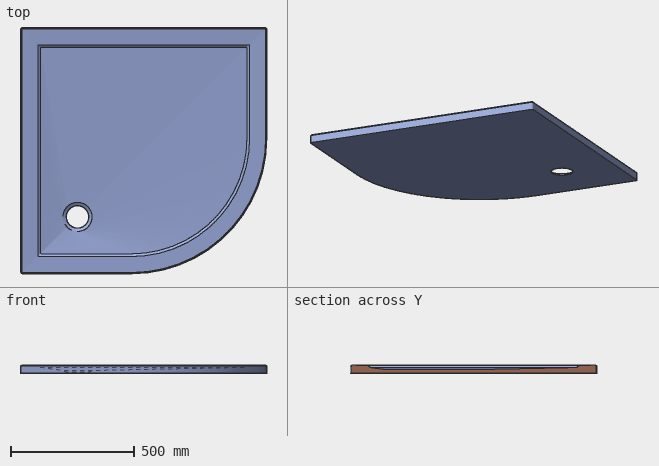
import cadquery as cq
import math

side = 999.0
height = 35.0
entry_radius = 550.0
corner_radius = 9.0
edge_chamfer = 5.0

rim_width = 70.0
step_width = 11.0
inner_corner_radius = 5.0
rim_inner_z = 33.0
floor_edge_z = 25.0

drain_x = 231.0
drain_y = 231.0
drain_seat_radius = 59.0
drain_hole_radius = 45.0
drain_seat_z = 12.0
drain_hole_z = 5.0
drain_corner_angle = 0.5


def arc_edge(center_x, center_y, radius, z, start, end):
    """Arc on a horizontal plane, with start < end in degrees."""
    def at(angle):
        turn = math.radians(angle)
        return cq.Vector(center_x + radius * math.cos(turn), center_y + radius * math.sin(turn), z)

    return cq.Edge.makeThreePointArc(at(start), at((start + end) / 2), at(end))


def tray_outline(inset, small_radius, z):
    """Eight-edge tray outline, moved inward by inset; starts with the large corner."""
    low = inset
    high = side - inset
    corners = [
        (side - entry_radius, entry_radius, entry_radius - inset, 270),
        (high - small_radius, high - small_radius, small_radius, 0),
        (low + small_radius, high - small_radius, small_radius, 90),
        (low + small_radius, low + small_radius, small_radius, 180),
    ]
    arcs = [arc_edge(x, y, radius, z, start, start + 90) for x, y, radius, start in corners]
    edges = []
    for arc, next_arc in zip(arcs, arcs[1:] + arcs[:1]):
        edges.append(arc)
        edges.append(cq.Edge.makeLine(arc.endPoint(), next_arc.startPoint()))
    return cq.Wire.assembleEdges(edges)


def drain_outline():
    """Drain circle split into eight arcs that pair with the edges of the tray outline."""
    angles = [-90, 0]
    for corner_angle in (45, 135, 225):
        angles += [corner_angle - drain_corner_angle, corner_angle + drain_corner_angle]
    angles.append(270)
    arcs = [
        arc_edge(drain_x, drain_y, drain_seat_radius, drain_seat_z, start, end)
        for start, end in zip(angles, angles[1:])
    ]
    return cq.Wire.assembleEdges(arcs)


def ruled_solid(lower, upper):
    return cq.Workplane(obj=cq.Solid.makeLoft([lower, upper], True))


base = tray_outline(0, corner_radius, 0)
body = cq.Workplane(obj=cq.Solid.extrudeLinear(base, [], cq.Vector(0, 0, height)))
body = body.faces(">Z").edges().chamfer(edge_chamfer)

rim_edge = tray_outline(edge_chamfer, corner_radius - edge_chamfer, height)
basin_edge = tray_outline(rim_width, inner_corner_radius, rim_inner_z)
floor_edge = tray_outline(rim_width + step_width, inner_corner_radius, floor_edge_z)
for lower, upper in ((basin_edge, rim_edge), (floor_edge, basin_edge), (drain_outline(), floor_edge)):
    body = body.cut(ruled_solid(lower, upper))

drain_seat = cq.Solid.makeCone(
    drain_hole_radius,
    drain_seat_radius,
    drain_seat_z - drain_hole_z,
    pnt=cq.Vector(drain_x, drain_y, drain_hole_z),
)
drain_hole = cq.Solid.makeCylinder(drain_hole_radius, height, pnt=cq.Vector(drain_x, drain_y, 0))
result = body.cut(cq.Workplane(obj=drain_seat)).cut(cq.Workplane(obj=drain_hole))